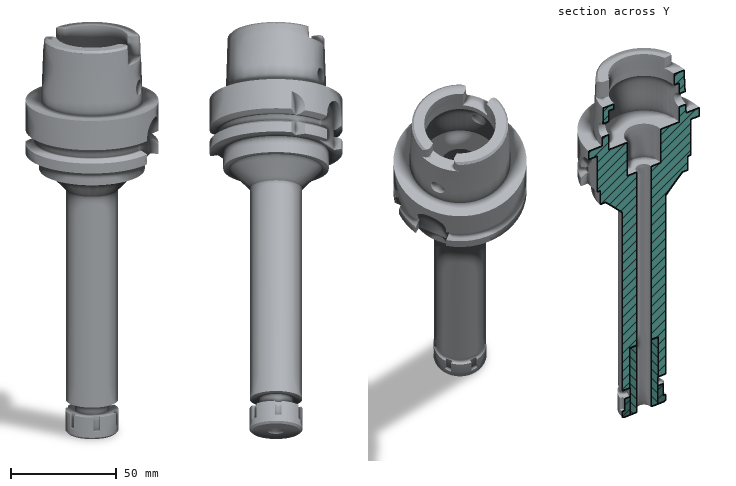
import cadquery as cq
import math

Z_TOP = 197.0
Z_TAPER_BASE = 165.3
Z_GROOVE_TOP = 150.7
Z_GROOVE_BOTTOM = 144.0
Z_FLANGE_BOTTOM = 139.0
Z_COLLAR_BOTTOM = 131.0
Z_CONE_BOTTOM = 121.2
Z_SHANK_BOTTOM = 16.0
Z_NUT_TOP = 11.0
Z_NUT_SLOT_FLOOR = 4.1

FLANGE_R = 31.5
GROOVE_R = 27.5
GROOVE_LEDGE_R = 28.8
GROOVE_WALL_ANGLE = 30.0
COLLAR_R = 25.0
CONE_TOP_R = 21.9
SHANK_R = 12.5
TAPER_BASE_R = 24.0
TAPER_TOP_R = 22.9
TAPER_CHAMFER = 1.0

MOUTH_R = 17.0
MOUTH_DEPTH = 12.8
CAVITY_R = 19.9
CAVITY_FLOOR = 161.5
TUBE_BORE_R = 9.5
TUBE_BORE_DEPTH = 19.7
THROUGH_HOLE_R = 4.0
CROSS_HOLE_R = 3.7
CROSS_HOLE_Z = 174.1

DRIVE_SLOT_WIDTH = 12.6
DRIVE_ROUNDING = 2.5
DRIVE_DEPTH_LEFT = 6.1
DRIVE_DEPTH_RIGHT = 9.7
KEYWAY_TOP = 160.2
KEYWAY_RADIUS = 8.0
KEYWAY_FLOOR_X = 26.5
NOTCH_FLOOR_X = 19.5
NOTCH_SIDE_Y = 19.9

COLLET_R = 8.0
COLLET_TOP = 39.4
NUT_R = 12.6
NUT_CHAMFER = 1.0
NUT_SLOT_COUNT = 6
NUT_SLOT_WIDTH = 3.2
NUT_SLOT_DEPTH = 1.5


def cylinder(radius, bottom, top):
    return cq.Workplane("XY").workplane(offset=bottom).circle(radius).extrude(top - bottom)


def box(x0, x1, y0, y1, z0, z1):
    return cq.Workplane("XY").box(x1 - x0, y1 - y0, z1 - z0, centered=False).translate((x0, y0, z0))


def holder_blank():
    """Outside of the holder: taper, flange with a stepped groove, collar, cone and shank."""
    wall_height = (FLANGE_R - GROOVE_LEDGE_R) * math.tan(math.radians(GROOVE_WALL_ANGLE))
    profile = [
        (0, Z_SHANK_BOTTOM),
        (SHANK_R, Z_SHANK_BOTTOM),
        (SHANK_R, Z_CONE_BOTTOM),
        (CONE_TOP_R, Z_COLLAR_BOTTOM),
        (COLLAR_R, Z_COLLAR_BOTTOM),
        (COLLAR_R, Z_FLANGE_BOTTOM),
        (FLANGE_R, Z_FLANGE_BOTTOM),
        (FLANGE_R, Z_GROOVE_BOTTOM),
        (GROOVE_LEDGE_R, Z_GROOVE_BOTTOM + wall_height),
        (GROOVE_R, Z_GROOVE_BOTTOM + wall_height),
        (GROOVE_R, Z_GROOVE_TOP - wall_height),
        (GROOVE_LEDGE_R, Z_GROOVE_TOP - wall_height),
        (FLANGE_R, Z_GROOVE_TOP),
        (FLANGE_R, Z_TAPER_BASE),
        (TAPER_BASE_R, Z_TAPER_BASE),
        (TAPER_TOP_R, Z_TOP),
        (0, Z_TOP),
    ]
    return cq.Workplane("YZ").polyline(profile).close().revolve(360, (0, 0, 0), (0, 1, 0))


def holder_bores():
    """Mouth, wider cavity, coolant tube bore, through hole, collet socket and cross hole."""
    mouth_bottom = Z_TOP - MOUTH_DEPTH
    cross_hole = (
        cq.Workplane("YZ").center(0, CROSS_HOLE_Z).circle(CROSS_HOLE_R).extrude(FLANGE_R, both=True)
    )
    return (
        cylinder(MOUTH_R, mouth_bottom, Z_TOP)
        .union(cylinder(CAVITY_R, CAVITY_FLOOR, mouth_bottom))
        .union(cylinder(TUBE_BORE_R, CAVITY_FLOOR - TUBE_BORE_DEPTH, CAVITY_FLOOR))
        .union(cylinder(THROUGH_HOLE_R, Z_SHANK_BOTTOM, CAVITY_FLOOR))
        .union(cylinder(COLLET_R, Z_SHANK_BOTTOM, COLLET_TOP))
        .union(cross_hole)
    )


def cut_drive_slot(holder, side, depth):
    """Slot in the taper rim on one X side, its walls rounded into the taper."""
    half = DRIVE_SLOT_WIDTH / 2
    far = side * FLANGE_R
    slot = box(min(0, far), max(0, far), -half, half, Z_TOP - depth, Z_TOP)
    corner_x = side * TAPER_TOP_R * math.cos(math.asin(half / TAPER_TOP_R))
    holder = holder.cut(slot)
    for corner_y in (-half, half):
        corner = (corner_x, corner_y, Z_TOP - depth / 2)
        holder = holder.edges(cq.selectors.NearestToPointSelector(corner)).fillet(DRIVE_ROUNDING)
    return holder


def rim_chamfer():
    """Ring that bevels the outer edge of the taper rim."""
    profile = [
        (TAPER_TOP_R - TAPER_CHAMFER, Z_TOP),
        (TAPER_TOP_R, Z_TOP - TAPER_CHAMFER),
        (FLANGE_R, Z_TOP - TAPER_CHAMFER),
        (FLANGE_R, Z_TOP),
    ]
    return cq.Workplane("YZ").polyline(profile).close().revolve(360, (0, 0, 0), (0, 1, 0))


def keyway(side, floor_x, center_y):
    """Round-topped cut through the flange, with a flat floor square to X."""
    start = side * floor_x
    length = side * (FLANGE_R - floor_x)
    arch_z = KEYWAY_TOP - KEYWAY_RADIUS
    arch = (
        cq.Workplane("YZ", origin=(start, center_y, arch_z)).circle(KEYWAY_RADIUS).extrude(length)
    )
    straight = box(
        min(start, start + length),
        max(start, start + length),
        center_y - KEYWAY_RADIUS,
        center_y + KEYWAY_RADIUS,
        Z_FLANGE_BOTTOM,
        arch_z,
    )
    return arch.union(straight)


def make_holder():
    """Holder with bores, drive slots, two keyways and one off-centre notch in the flange."""
    holder = holder_blank().cut(holder_bores())
    holder = cut_drive_slot(holder, -1, DRIVE_DEPTH_LEFT)
    holder = cut_drive_slot(holder, 1, DRIVE_DEPTH_RIGHT)
    holder = holder.cut(rim_chamfer())
    for side in (-1, 1):
        holder = holder.cut(keyway(side, KEYWAY_FLOOR_X, 0))
    return holder.cut(keyway(-1, NOTCH_FLOOR_X, NOTCH_SIDE_Y + KEYWAY_RADIUS))


def make_collet():
    """Plain sleeve that bridges the gap between shank and nut."""
    return cylinder(COLLET_R, 0, COLLET_TOP).cut(cylinder(THROUGH_HOLE_R, 0, COLLET_TOP))


def make_nut():
    """Clamping nut with wrench slots open at its top."""
    nut = cylinder(NUT_R, 0, Z_NUT_TOP).faces("<Z").chamfer(NUT_CHAMFER)
    nut = nut.cut(cylinder(COLLET_R, 0, Z_NUT_TOP))
    slot = box(
        NUT_R - NUT_SLOT_DEPTH,
        NUT_R + NUT_SLOT_DEPTH,
        -NUT_SLOT_WIDTH / 2,
        NUT_SLOT_WIDTH / 2,
        Z_NUT_SLOT_FLOOR,
        Z_NUT_TOP,
    )
    for i in range(NUT_SLOT_COUNT):
        nut = nut.cut(slot.rotate((0, 0, 0), (0, 0, 1), i * 360 / NUT_SLOT_COUNT))
    return nut


holder = make_holder()
collet = make_collet()
nut = make_nut()

result = cq.Compound.makeCompound([holder.val(), collet.val(), nut.val()])